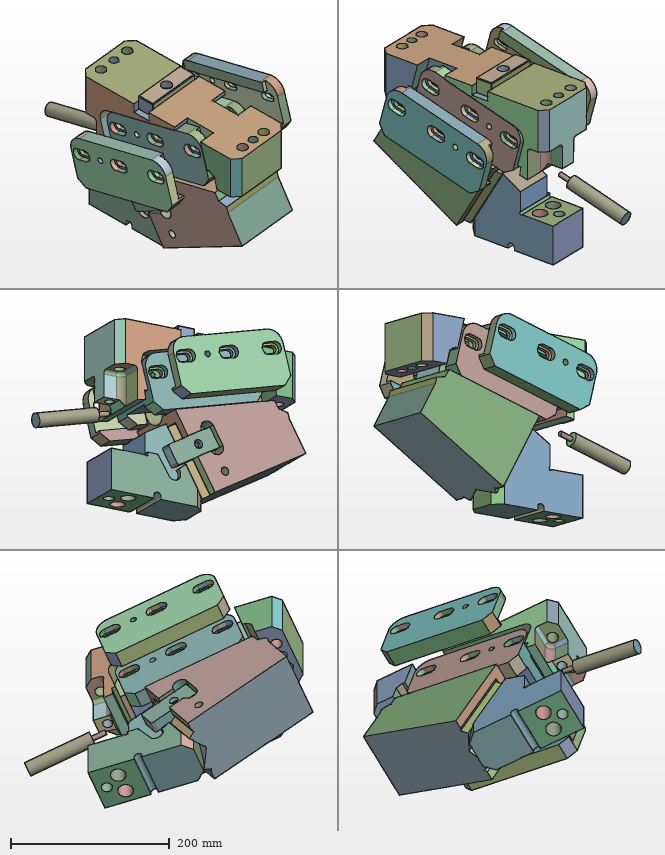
import cadquery as cq
import math

STROKE_ANGLE = 15.0
DRIVER_ANGLE = 30.0

holder_left = -89.5
holder_right = 175.0
holder_top = 108.5
holder_right_bottom = 46.5
holder_half_width = 47.5
holder_corner = 10.5
stem_bottom = 13.0
stem_half_width = 11.5
shoulder_bottom = 48.7
shoulder_depth = 27.7
holder_floor = 0.0
shoulder_top_radius = 5.0
stem_foot_bevel = 5.0
stem_foot_bottom = 3.5
stem_root_radius = 9.5
left_hole_x = -74.2
left_hole_y = 24.7
right_hole_x = 160.5
right_hole_y = 20.0
bolt_diameter = 14.5
dowel_diameter = 12.5

slide_face = 18.5
ledge = 2.0
recess_left = -39.5
recess_right = 138.5
recess_top = 81.0
recess_floor = 23.3
recess_radius = 16.5
window_left = 70.5
window_right = 114.0
window_bottom = 99.7
lip_left = -46.0
lip_bottom = 18.5
lip_step = 30.3
lip_step_left = -44.7
left_clearance = 39.5
notch_bottom = 7.8
notch_right = 149.2
notch_radius = 7.0
notch_top = 33.5

plate_left = -32.5
plate_right = 133.0
plate_bottom = 3.7
plate_top = 78.5
plate_corner_radius = 20.0
plate_bevel = 12.0
plate_thickness = 22.5
flange_thickness = 13.3
web_thickness = 19.2
web_setback = 10.7
web_right = 116.5
web_bottom = 63.5
hook_top = 18.5
rail_outer = 43.5
unit_width = 225.0
cover_outer = unit_width / 2
slot_first = -15.5
slot_pitch = 65.0
slot_height = 53.5
slot_length = 28.0
slot_width = 16.5
slot_inner_length = 21.0
slot_inner_width = 10.7
slot_step_depth = 7.5
screw_hole_diameter = 6.5
screw_hole_depth = 14.8
pin_station = 17.5
pin_diameter = 7.8

key_center_x = 14.5
key_width = 25.0
key_bottom = 95.0
key_top = 117.0
key_half_length = 40.0
key_edge = 1.0
key_bore = 15.0
key_hole = 9.0
key_bore_depth = 11.0

slide_end = -5.0
slide_bottom = -112.5
slide_core_left = -6.0
slide_core_right = 142.0
slide_nose = 148.0
slide_shelf_low = -64.5
slide_shelf_right = 158.5
slide_shelf_top = 26.2
slide_shelf_left = 145.0
slide_shelf_left_top = 28.8
ledge_right = 144.0
side_hole_x = 66.5
side_hole_z = -69.0
side_hole_diameter = 10.7
side_hole_depth = 14.8
spring_bore_radius = 20.3
spring_bore_end = 51.7

v_slope = math.tan(math.radians(30.0))
groove_half_width = 35.5
pad_half_width = 31.8
pad_thickness = 10.7
pad_top = -12.2
groove_top = -11.0
far_left = -221.5

arm_half_length = 35.0
arm_seat_end = 37.3
arm_top = -33.5
arm_bottom = -62.5
arm_inner = 27.0
arm_outer = 42.5
arm_corner = 3.0
arm_screw_x = 7.8
arm_screw_diameter = 11.5
arm_screw_hole = 7.0
arm_screw_depth = 6.0
relief_radius = 10.0
relief_inset = 1.5

base_left = -89.5
base_right = 48.5
base_bottom = -117.0
base_step = -61.3
base_half_width = 30.3
base_wall_x = -37.0
base_roof = -7.0
base_end_chamfer = 12.2
base_relief_inner = 24.0
base_relief_step = -57.2
base_relief_knee = -21.8
base_relief_radius = 9.2
base_relief_corner_x = 2.5
base_relief_corner_z = -78.3
base_groove_x = -22.0
base_groove_width = 10.0
base_groove_height = 9.0
base_undercut_radius = 2.2
base_bolt_x = -55.0
base_bolt_y = 13.3
base_bolt_diameter = 19.5
base_dowel_x = -75.5
base_dowel_diameter = 14.0

spring_axis_height = 16.2
spring_left = -184.3
spring_shoulder = -93.8
spring_rod_end = -75.0
spring_diameter = 19.0
spring_rod_diameter = 6.5
stub_end = 148.5


def side_plane(angle, y=0.0):
    """Plane facing -Y whose local X is tilted up from X by the angle."""
    tilt = math.radians(angle)
    return cq.Workplane(
        cq.Plane(origin=(0, y, 0), xDir=(math.cos(tilt), 0, math.sin(tilt)), normal=(0, -1, 0))
    )


def prism(points, angle, y_near, y_far):
    """Polygon in a tilted XZ frame, filled from y_near (the lower Y) to y_far."""
    return side_plane(angle, y_far).polyline(points).close().extrude(y_far - y_near)


def block(x0, x1, z0, z1, angle, y_near, y_far):
    return prism([(x0, z0), (x1, z0), (x1, z1), (x0, z1)], angle, y_near, y_far)


def side_cylinder(x, z, diameter, angle, y_near, y_far):
    return side_plane(angle, y_far).center(x, z).circle(diameter / 2).extrude(y_far - y_near)


def stroke_cylinder(start, end, radius):
    """Cylinder on the gas spring axis between two stroke-frame stations."""
    tilt = math.radians(STROKE_ANGLE)
    along = cq.Vector(math.cos(tilt), 0, math.sin(tilt))
    across = cq.Vector(-math.sin(tilt), 0, math.cos(tilt))
    origin = along * start + across * spring_axis_height
    plane = cq.Plane(origin=origin.toTuple(), xDir=(0, 1, 0), normal=along.toTuple())
    return cq.Workplane(plane).circle(radius).extrude(end - start)


def both_sides(shape):
    return shape.union(shape.mirror("XZ"))


def vertical_holes(places, diameter, bottom, top):
    plane = cq.Workplane("XY", origin=(0, 0, bottom))
    return plane.pushPoints(places).circle(diameter / 2).extrude(top - bottom)


def from_stroke(x, z):
    """Stroke-frame coordinates turned into X and Z."""
    tilt = math.radians(STROKE_ANGLE)
    return (x * math.cos(tilt) - z * math.sin(tilt), x * math.sin(tilt) + z * math.cos(tilt))


def from_driver(x, z):
    """Driver-frame coordinates turned into X and Z."""
    tilt = math.radians(DRIVER_ANGLE)
    return (x * math.cos(tilt) - z * math.sin(tilt), x * math.sin(tilt) + z * math.cos(tilt))


def plate_blank(y_near, y_far):
    """Guide plate outline with two rounded upper and two bevelled lower corners."""
    r = plate_corner_radius
    b = plate_bevel
    k = r * (1 - math.sqrt(0.5))
    return (
        side_plane(STROKE_ANGLE, y_far)
        .moveTo(plate_left + b, plate_bottom)
        .lineTo(plate_right - b, plate_bottom)
        .lineTo(plate_right, plate_bottom + b)
        .lineTo(plate_right, plate_top - r)
        .threePointArc((plate_right - k, plate_top - k), (plate_right - r, plate_top))
        .lineTo(plate_left + r, plate_top)
        .threePointArc((plate_left + k, plate_top - k), (plate_left, plate_top - r))
        .lineTo(plate_left, plate_bottom + b)
        .close()
        .extrude(y_far - y_near)
    )


def guide_plate(outer):
    """Plate on the -Y side with its outer face at y = -outer and its hook toward the middle."""
    y = -outer
    web = block(
        plate_left + web_setback, web_right, web_bottom, plate_top, STROKE_ANGLE, y, y + web_thickness,
    )
    hook = block(
        plate_left, plate_right, plate_bottom, hook_top, STROKE_ANGLE, y, y + plate_thickness,
    )
    plate = plate_blank(y, y + flange_thickness)
    plate = plate.union(plate_blank(y, y + plate_thickness).intersect(web.union(hook)))
    slot_places = [(slot_first + i * slot_pitch, slot_height) for i in range(3)]
    wide = side_plane(STROKE_ANGLE, y + slot_step_depth).pushPoints(slot_places)
    plate = plate.cut(wide.slot2D(slot_length, slot_width).extrude(slot_step_depth))
    narrow = side_plane(STROKE_ANGLE, y + flange_thickness).pushPoints(slot_places)
    plate = plate.cut(narrow.slot2D(slot_inner_length, slot_inner_width).extrude(flange_thickness))
    pin = side_cylinder(pin_station, slot_height, pin_diameter, STROKE_ANGLE, y, y + flange_thickness)
    return plate.cut(pin)


def holder_blank():
    shoulder_right = holder_left + shoulder_depth
    outline = [
        (holder_left, holder_top),
        (holder_left, stem_bottom),
        (shoulder_right - stem_foot_bevel, stem_bottom),
        (shoulder_right, stem_foot_bottom),
        from_stroke(lip_left, lip_bottom),
        from_stroke(lip_step_left, lip_step),
        from_stroke(recess_left, lip_step),
        from_stroke(recess_left, left_clearance),
        from_stroke(plate_left, left_clearance),
        from_stroke(plate_left, slide_face),
        from_stroke(plate_right, slide_face),
        from_stroke(plate_right, notch_top),
        from_stroke(notch_right - notch_radius, notch_top),
        from_stroke(notch_right, notch_top - notch_radius),
        from_stroke(notch_right, notch_bottom),
        (holder_right, holder_right_bottom),
        (holder_right, holder_top),
    ]
    blank = prism(outline, 0, -holder_half_width, holder_half_width)
    corners = (
        cq.Workplane("XY", origin=((holder_left + holder_right) / 2, 0, holder_floor))
        .rect(holder_right - holder_left, 2 * holder_half_width)
        .extrude(holder_top - holder_floor)
        .edges("|Z")
        .chamfer(holder_corner)
    )
    return blank.intersect(corners)


def shoulder_cut():
    """Relief beside the stem on the -Y side, rounded at its root."""
    height = shoulder_bottom - holder_floor
    width = holder_half_width - stem_half_width
    cutter = (
        cq.Workplane("XY", origin=(holder_left, -holder_half_width, holder_floor))
        .box(shoulder_depth, width, height, centered=False)
        .edges("|Z and >X and >Y")
        .fillet(stem_root_radius)
    )
    return cutter.faces(">Z").edges(">X").fillet(shoulder_top_radius)


def plate_recess():
    """Pocket for a guide plate on the -Y side."""
    return (
        block(recess_left, recess_right, plate_bottom, recess_top, STROKE_ANGLE,
              -holder_half_width, -recess_floor)
        .edges("|Y")
        .edges("<X")
        .fillet(recess_radius)
    )


def top_window():
    """Square-ended opening where the plate recess on the -Y side breaks through the top."""
    return block(
        window_left, window_right, window_bottom, holder_top, 0, -holder_half_width, -recess_floor,
    )


def make_holder():
    holder = holder_blank()
    holder = holder.cut(both_sides(shoulder_cut()))
    holder = holder.cut(both_sides(plate_recess()))
    holder = holder.cut(both_sides(top_window()))
    flange_inner = rail_outer - flange_thickness
    holder = holder.union(block(
        plate_left, plate_right, slide_face, web_bottom, STROKE_ANGLE, -flange_inner, flange_inner,
    ))
    holder = holder.union(both_sides(guide_plate(rail_outer)))
    for i in range(3):
        screw_hole = side_cylinder(
            slot_first + i * slot_pitch, slot_height, screw_hole_diameter, STROKE_ANGLE,
            -rail_outer, -flange_inner + screw_hole_depth,
        )
        holder = holder.cut(both_sides(screw_hole))
    holder = holder.cut(block(
        key_center_x - key_width / 2, key_center_x + key_width / 2, key_bottom, key_top, 0,
        -holder_half_width, holder_half_width,
    ))
    for x, spacing in ((left_hole_x, left_hole_y), (right_hole_x, right_hole_y)):
        bolts = [(x, spacing), (x, -spacing)]
        holder = holder.cut(vertical_holes(bolts, bolt_diameter, stem_foot_bottom, holder_top))
        holder = holder.cut(vertical_holes([(x, 0)], dowel_diameter, stem_foot_bottom, holder_top))
    return holder


def make_key():
    key = (
        cq.Workplane("XY", origin=(key_center_x, 0, key_bottom))
        .rect(key_width, 2 * key_half_length)
        .extrude(key_top - key_bottom)
        .edges()
        .chamfer(key_edge)
    )
    return key.faces(">Z").workplane().cboreHole(key_hole, key_bore, key_bore_depth)


def driver_profile(points):
    """Plan profile in the driver frame (station, Y), mirrored about Y = 0 and run along the nose."""
    loop = points + [(x, -y) for x, y in reversed(points) if y > 0]
    tilt = math.radians(DRIVER_ANGLE)
    plane = cq.Plane(
        origin=(0, 0, 0),
        xDir=(math.cos(tilt), 0, math.sin(tilt)),
        normal=(-math.sin(tilt), 0, math.cos(tilt)),
    )
    return cq.Workplane(plane).workplane(offset=slide_bottom).polyline(loop).close()


def drive_face(y):
    """Driver-frame station of the V contact face at a distance y from the middle."""
    pad_root = slide_end + (groove_half_width - y) * v_slope
    return pad_root - pad_thickness / math.cos(math.atan(v_slope))


def slide_body():
    outline = [
        from_driver(slide_end, slide_bottom),
        from_driver(slide_nose, slide_bottom),
        from_driver(slide_nose, slide_shelf_low),
        (slide_shelf_right, slide_shelf_top),
        (slide_shelf_left, slide_shelf_left_top),
        from_stroke(ledge_right, ledge),
        from_stroke(slide_core_left, ledge),
    ]
    body = prism(outline, 0, -holder_half_width, holder_half_width)
    core_half_width = rail_outer - plate_thickness
    core = block(
        slide_core_left, slide_core_right, ledge, slide_face, STROKE_ANGLE,
        -core_half_width, core_half_width,
    )
    end_strip = block(
        plate_right, slide_core_right, ledge, notch_top, STROKE_ANGLE, -recess_floor, recess_floor,
    )
    return body.union(core).union(end_strip)


def nose_groove():
    return driver_profile([
        (slide_end + groove_half_width * v_slope, 0),
        (slide_end, groove_half_width),
        (far_left, groove_half_width),
    ]).extrude(groove_top - slide_bottom)


def nose_clearance():
    """Room for the part of the base nose that stands above the groove."""
    return driver_profile([
        (drive_face(0), 0),
        (far_left, (drive_face(0) - far_left) / v_slope),
    ]).extrude(base_roof - slide_bottom)


def nose_pad():
    """V-shaped wear pad lying on the walls of the nose groove."""
    lean = pad_thickness * math.sin(math.atan(v_slope))
    root = slide_end + (groove_half_width - pad_half_width) * v_slope
    return driver_profile([
        (slide_end + groove_half_width * v_slope, 0),
        (root, pad_half_width),
        (drive_face(pad_half_width - lean), pad_half_width - lean),
        (drive_face(0), 0),
    ]).extrude(pad_top - slide_bottom)


def follower_arm():
    """Arm of the slide that reaches past the side of the base, with a stepped screw hole."""
    arm = block(
        -arm_half_length, arm_half_length, arm_bottom, arm_top, DRIVER_ANGLE, -arm_outer, -arm_inner,
    )
    arm = arm.edges("|Y").edges("<X or <Z").fillet(arm_corner)
    hole_height = (arm_top + arm_bottom) / 2
    steps = ((arm_screw_diameter, arm_screw_depth), (arm_screw_hole, arm_outer - arm_inner))
    for diameter, depth in steps:
        arm = arm.cut(side_cylinder(
            arm_screw_x, hole_height, diameter, DRIVER_ANGLE, -arm_outer, depth - arm_outer,
        ))
    return arm


def arm_pocket():
    """Open-ended seat for the follower arm with a round relief at each inner corner."""
    seat = block(
        -arm_half_length, arm_seat_end, arm_bottom, arm_top, DRIVER_ANGLE, -holder_half_width, -arm_inner,
    )
    for z in (arm_bottom + relief_inset, arm_top - relief_inset):
        seat = seat.union(side_cylinder(
            arm_seat_end - relief_radius, z, 2 * relief_radius, DRIVER_ANGLE,
            -holder_half_width, -arm_inner,
        ))
    return seat


def make_slide():
    slide = slide_body()
    slide = slide.cut(nose_groove()).cut(nose_clearance())
    bore_start = slide_core_left - spring_bore_radius
    slide = slide.cut(stroke_cylinder(bore_start, spring_bore_end, spring_bore_radius))
    slide = slide.union(nose_pad())
    slide = slide.cut(arm_pocket()).union(follower_arm())
    slide = slide.cut(side_cylinder(
        side_hole_x, side_hole_z, side_hole_diameter, 0,
        -holder_half_width, side_hole_depth - holder_half_width,
    ))
    return slide.union(stroke_cylinder(plate_right, stub_end, spring_rod_diameter / 2))


def base_blank():
    tan_roof = math.tan(math.radians(DRIVER_ANGLE))
    roof_at_origin = base_roof / math.cos(math.radians(DRIVER_ANGLE))
    outline = [
        (base_left, base_bottom),
        (base_right, base_bottom),
        (base_right, roof_at_origin + base_right * tan_roof),
        (base_wall_x, roof_at_origin + base_wall_x * tan_roof),
        (base_wall_x, base_step),
        (base_left, base_step),
    ]
    blank = prism(outline, 0, -base_half_width, base_half_width)
    return blank.edges("|Z and >X").chamfer(base_end_chamfer)


def base_nose_envelope():
    """Everything the V-shaped nose of the base may fill."""
    return driver_profile([
        (drive_face(0), 0),
        (drive_face(base_half_width), base_half_width),
        (far_left, base_half_width),
    ]).extrude(far_left, both=True)


def arm_relief():
    """Relief on the -Y side that lets the follower arm pass, with a round lower corner."""
    outline = [
        (base_wall_x, base_relief_step),
        (base_relief_knee, base_relief_step),
        (base_relief_corner_x - base_relief_radius * math.cos(math.radians(DRIVER_ANGLE)),
         base_relief_corner_z - base_relief_radius * math.sin(math.radians(DRIVER_ANGLE))),
        from_driver(0, arm_bottom),
        from_driver(arm_half_length, arm_bottom),
        from_driver(arm_half_length, 0),
        (base_wall_x, from_driver(arm_half_length, 0)[1]),
    ]
    relief = prism(outline, 0, -base_half_width, -base_relief_inner)
    return relief.union(side_cylinder(
        base_relief_corner_x, base_relief_corner_z, 2 * base_relief_radius, 0,
        -base_half_width, -base_relief_inner,
    ))


def base_groove():
    """Round-topped locating groove across the underside."""
    half = base_groove_width / 2
    top = base_bottom + base_groove_height
    slot = block(
        base_groove_x - half, base_groove_x + half, base_bottom, top - half, 0,
        -base_half_width, base_half_width,
    )
    return slot.union(side_cylinder(
        base_groove_x, top - half, base_groove_width, 0, -base_half_width, base_half_width,
    ))


def make_base():
    base = base_blank().intersect(base_nose_envelope())
    base = base.cut(arm_relief())
    base = base.cut(base_groove())
    base = base.cut(side_cylinder(
        base_wall_x - base_undercut_radius / 2, base_step + base_undercut_radius / 2,
        2 * base_undercut_radius, 0, -base_half_width, base_half_width,
    ))
    bolts = [(base_bolt_x, base_bolt_y), (base_bolt_x, -base_bolt_y)]
    base = base.cut(vertical_holes(bolts, base_bolt_diameter, base_bottom, base_step))
    return base.cut(vertical_holes([(base_dowel_x, 0)], base_dowel_diameter, base_bottom, base_step))


def make_gas_spring():
    body = stroke_cylinder(spring_left, spring_shoulder, spring_diameter / 2)
    return body.union(stroke_cylinder(spring_shoulder, spring_rod_end, spring_rod_diameter / 2))


holder = make_holder()
key = make_key()
slide = make_slide()
base = make_base()
gas_spring = make_gas_spring()
near_cover = guide_plate(cover_outer)
cover_plates = [near_cover, near_cover.mirror("XZ")]

bodies = [holder, key, slide, base, gas_spring] + cover_plates
result = cq.Compound.makeCompound([body.solids().val() for body in bodies])